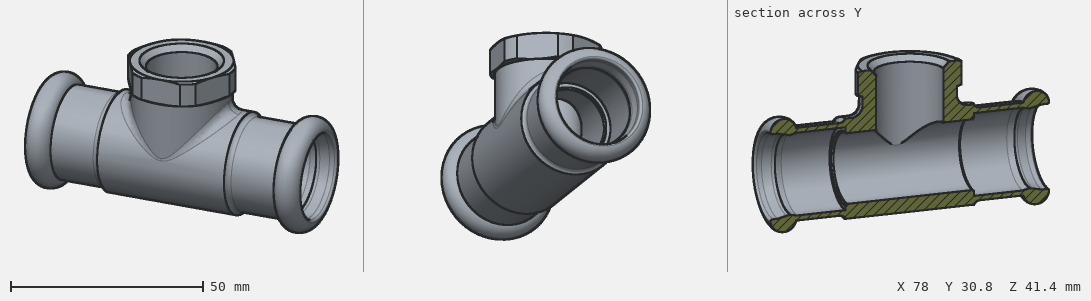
import cadquery as cq
import math

run_length = 78.0
half_run = run_length / 2
body_diameter = 27.3
body_half_length = 18.0
shoulder_half_length = 19.6
socket_outer_diameter = 25.3
run_bore_diameter = 19.0

bead_diameter = 30.8
bead_round = 3.75

lip_bore_diameter = 22.9
lip_round = 0.7
lip_end = 36.9
ridge_shoulder_diameter = 21.85
ridge_shoulder = 34.4
ridge_diameter = 21.45
ridge_crest = 33.5
ridge_end = 31.5
socket_bore_diameter = 22.3
stop_chamfer = 0.5

total_height = 41.4
branch_top = total_height - bead_diameter / 2
neck_diameter = 26.5
neck_fillet = 3.0
branch_bore_diameter = 18.65
branch_rim_diameter = 22.0
collar_height = 7.0
collar_across_flats = 27.0
collar_corner_diameter = 29.1
collar_chamfer_angle = 20.0


def run_outside():
    """Solid of revolution about X: body, shoulders, socket walls and end beads."""
    body_radius = body_diameter / 2
    wall_radius = socket_outer_diameter / 2
    mouth_radius = lip_bore_diameter / 2 + lip_round
    bead_ring_radius = bead_diameter / 2 - bead_round
    bead_centre = half_run - math.sqrt(bead_round**2 - (mouth_radius - bead_ring_radius)**2)
    bead_start = bead_centre - math.sqrt(bead_round**2 - (wall_radius - bead_ring_radius)**2)
    shoulder_length = shoulder_half_length - body_half_length
    shoulder_step = body_radius - wall_radius
    shoulder_arc_radius = (shoulder_length**2 + shoulder_step**2) / (2 * shoulder_step)
    half_sweep = math.atan2(shoulder_step, shoulder_length)
    shoulder_middle = (
        shoulder_half_length - shoulder_arc_radius * math.sin(half_sweep),
        wall_radius + shoulder_arc_radius * (1 - math.cos(half_sweep)),
    )

    half = (
        cq.Workplane("XY")
        .lineTo(0, body_radius)
        .lineTo(body_half_length, body_radius)
        .threePointArc(shoulder_middle, (shoulder_half_length, wall_radius))
        .lineTo(bead_start, wall_radius)
        .threePointArc((bead_centre, bead_diameter / 2), (half_run, mouth_radius))
        .lineTo(half_run, 0)
        .close()
        .revolve(360, (0, 0, 0), (1, 0, 0))
    )
    return half.union(half.mirror("YZ"))


def run_inside():
    """Hollow of the run: the through bore and the stepped socket at each end."""
    bore_radius = run_bore_diameter / 2
    lip_radius = lip_bore_diameter / 2
    socket_radius = socket_bore_diameter / 2
    stop = body_half_length
    arc_inset = lip_round * (1 - math.sqrt(0.5))

    half = (
        cq.Workplane("XY")
        .lineTo(0, bore_radius)
        .lineTo(stop - stop_chamfer, bore_radius)
        .lineTo(stop, bore_radius + stop_chamfer)
        .lineTo(stop, socket_radius)
        .lineTo(ridge_end, socket_radius)
        .lineTo(ridge_crest, ridge_diameter / 2)
        .lineTo(ridge_shoulder, ridge_shoulder_diameter / 2)
        .lineTo(lip_end, lip_radius)
        .lineTo(half_run - lip_round, lip_radius)
        .threePointArc(
            (half_run - arc_inset, lip_radius + arc_inset),
            (half_run, lip_radius + lip_round),
        )
        .lineTo(half_run, 0)
        .close()
        .revolve(360, (0, 0, 0), (1, 0, 0))
    )
    return half.union(half.mirror("YZ"))


def neck():
    """Solid cylinder from the run's axis to the top of the branch."""
    return cq.Workplane("XY").circle(neck_diameter / 2).extrude(branch_top)


def collar():
    """Hexagon with flats facing +-Y, its corners turned round and chamfered at both ends."""
    across_corners = collar_across_flats / math.cos(math.pi / 6)
    bottom = branch_top - collar_height
    hexagon = (
        cq.Workplane("XY", origin=(0, 0, bottom))
        .polygon(6, across_corners)
        .extrude(collar_height)
    )
    flat_radius = collar_across_flats / 2
    corner_radius = collar_corner_diameter / 2
    chamfer_height = (corner_radius - flat_radius) * math.tan(math.radians(collar_chamfer_angle))
    turned_blank = (
        cq.Workplane("XZ")
        .moveTo(0, bottom)
        .lineTo(flat_radius, bottom)
        .lineTo(corner_radius, bottom + chamfer_height)
        .lineTo(corner_radius, branch_top - chamfer_height)
        .lineTo(flat_radius, branch_top)
        .lineTo(0, branch_top)
        .close()
        .revolve(360, (0, 0, 0), (0, 1, 0))
    )
    return hexagon.intersect(turned_blank)


def branch_inside():
    """Bore from the run's axis up to the collar, opened by a 45 degree countersink."""
    bore_radius = branch_bore_diameter / 2
    rim_radius = branch_rim_diameter / 2
    return (
        cq.Workplane("XZ")
        .lineTo(bore_radius, 0)
        .lineTo(bore_radius, branch_top - (rim_radius - bore_radius))
        .lineTo(rim_radius, branch_top)
        .lineTo(0, branch_top)
        .close()
        .revolve(360, (0, 0, 0), (0, 1, 0))
    )


def blended_outside():
    """Run and neck joined, with a fillet along the seam where the neck meets the body."""
    reach = body_diameter / 2 + 0.8
    seam_bottom = 0.8
    seam_box = cq.selectors.BoxSelector((-reach, -reach, seam_bottom), (reach, reach, reach))
    return run_outside().union(neck()).edges(seam_box).fillet(neck_fillet)


result = blended_outside().union(collar()).cut(run_inside()).cut(branch_inside())